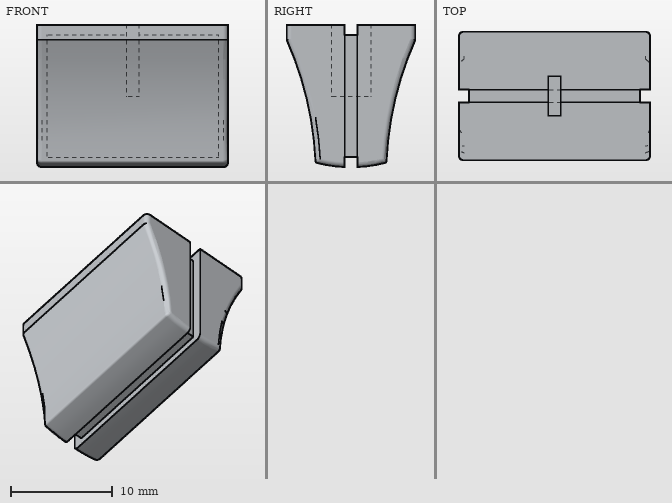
import cadquery as cq

length = 18.8
top_width = 12.65
height = 14.0

rim_height = 1.49
foot_width = 7.0
foot_crown = 0.47
waist_width = 8.65
waist_depth = 7.45
end_radius = 0.49
foot_radius = 0.28

groove_width = 1.26
groove_depth = 1.0
pocket_length = 1.18
pocket_width = 3.9
pocket_depth = height / 2


def make_body():
    """Flared block with concave flanks and a crowned foot, rounded along its outer edges."""
    top = top_width / 2
    waist = waist_width / 2
    foot = foot_width / 2
    foot_z = foot_crown - height
    body = (
        cq.Workplane("YZ")
        .moveTo(-top, 0)
        .lineTo(top, 0)
        .lineTo(top, -rim_height)
        .threePointArc((waist, -waist_depth), (foot, foot_z))
        .threePointArc((0, -height), (-foot, foot_z))
        .threePointArc((-waist, -waist_depth), (-top, -rim_height))
        .close()
        .extrude(length / 2, both=True)
    )
    body = body.faces("<Z").edges("|X").fillet(foot_radius)
    return body.faces("<X or >X").edges("not >Z").fillet(end_radius)


def make_groove():
    """Rectangular band around the mid-plane that leaves a narrower, shorter core."""
    margin = 0.19
    band = cq.Workplane("XY").box(length + 2 * margin, groove_width, height + 2 * margin)
    core = cq.Workplane("XY").box(length - 2 * groove_depth, groove_width, height - 2 * groove_depth)
    return band.cut(core).translate((0, 0, -height / 2))


def make_pocket():
    """Blind rectangular pocket across the groove, open at the top face."""
    return cq.Workplane("XY").rect(pocket_length, pocket_width).extrude(-pocket_depth)


result = make_body().cut(make_groove()).cut(make_pocket())